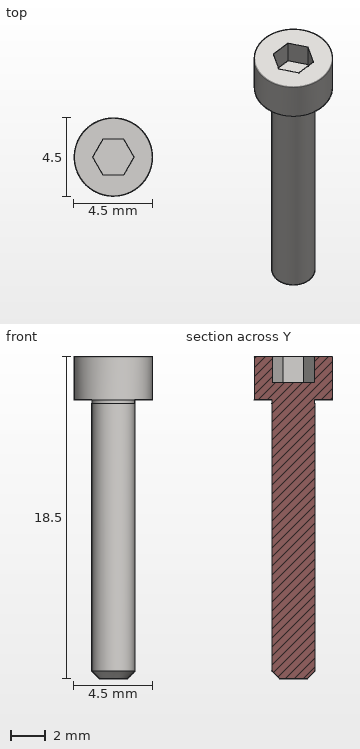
import cadquery as cq
import math

head_diameter = 4.5
head_height = 2.5
head_edge_radius = 0.0275
shank_diameter = 2.5
shank_length = 16.0
tip_chamfer = 0.45
neck_diameter = 2.48
neck_length = 0.2
socket_across_flats = 2.06
socket_depth = 1.5


def make_head():
    """Cylindrical head with a slightly rounded top edge."""
    head = cq.Workplane("XY").circle(head_diameter / 2).extrude(head_height)
    return head.faces(">Z").edges().fillet(head_edge_radius)


def make_shank():
    """Short relieved neck under the head, then the full shank with its chamfered tip."""
    neck = cq.Workplane("XY").circle(neck_diameter / 2).extrude(-neck_length)
    full_length = shank_length - neck_length
    shank = cq.Workplane("XY", origin=(0, 0, -shank_length)).circle(shank_diameter / 2).extrude(full_length)
    shank = shank.faces("<Z").edges().chamfer(tip_chamfer)
    return shank.union(neck)


def make_socket():
    """Hexagonal drive recess, with two corners on the X axis."""
    across_corners = socket_across_flats / math.cos(math.pi / 6)
    top = cq.Workplane("XY", origin=(0, 0, head_height))
    return top.polygon(6, across_corners).extrude(-socket_depth)


result = make_head().union(make_shank()).cut(make_socket())